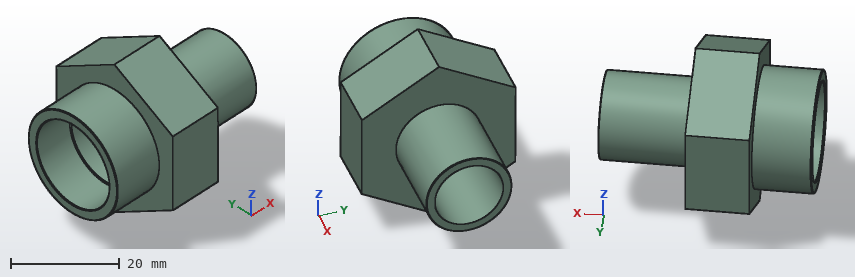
import cadquery as cq

total_length = 40.0
socket_length = 11.05
hex_length = 11.9
hex_corner_diameter = 34.65
hex_turn = -0.2

socket_diameter = 23.0
spigot_diameter = 16.7
socket_chamfer = 0.15
spigot_chamfer = 0.1

socket_bore_diameter = 18.65
socket_bore_depth = 8.7
socket_bore_chamfer = 0.15
inner_bore_diameter = 17.7
inner_bore_depth = 20.0
through_bore_diameter = 13.3


def rod(start, length, diameter):
    """Cylinder along +X that begins at X = start."""
    return cq.Workplane("YZ", origin=(start, 0, 0)).circle(diameter / 2).extrude(length)


spigot_start = socket_length + hex_length
socket = rod(0, socket_length, socket_diameter).faces("<X").chamfer(socket_chamfer)
spigot = rod(spigot_start, total_length - spigot_start, spigot_diameter).faces(">X").chamfer(spigot_chamfer)
hexagon = (
    cq.Workplane("YZ", origin=(socket_length, 0, 0))
    .polygon(6, hex_corner_diameter)
    .extrude(hex_length)
    .rotate((0, 0, 0), (1, 0, 0), 90 + hex_turn)
)
body = hexagon.union(socket).union(spigot)

bore = (
    rod(0, total_length, through_bore_diameter)
    .union(rod(0, inner_bore_depth, inner_bore_diameter))
    .union(rod(0, socket_bore_depth, socket_bore_diameter))
)

result = (
    body.cut(bore)
    .faces("<X")
    .edges(cq.selectors.RadiusNthSelector(0))
    .chamfer(socket_bore_chamfer)
)